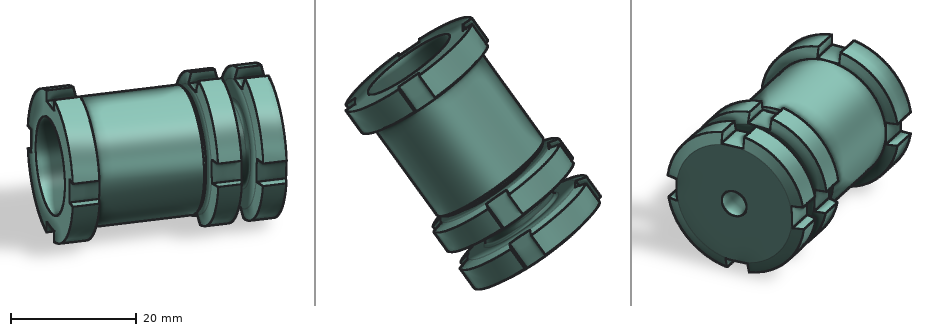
import cadquery as cq
import math

FULL_TURN = 360.0

TOTAL_LENGTH = 36.25

COLLAR_RADIUS = 12.5
COLLAR_THICKNESS = 5.0
SLOT_FLOOR_RADIUS = 10.5
SLOT_WIDTH = 4.0
SLOT_COUNT = 4
COLLAR_CHAMFER_ANGLE = 15.0
COLLAR_CHAMFER_RADIAL = COLLAR_RADIUS - SLOT_FLOOR_RADIUS
COLLAR_CHAMFER_AXIAL = COLLAR_CHAMFER_RADIAL * math.tan(math.radians(COLLAR_CHAMFER_ANGLE))
COLLAR_TWIST = 2.0

SLEEVE_LENGTH = 23.0
SLEEVE_RADIUS = SLOT_FLOOR_RADIUS
SLEEVE_END_CHAMFER = 0.5
BORE_RADIUS = 8.0
BORE_DEPTH = 9.8

LOCK_RING_START = 23.75
LOCK_RING_END = LOCK_RING_START + COLLAR_THICKNESS

SHANK_RADIUS = 7.5
SHANK_START = BORE_DEPTH
HEAD_START = TOTAL_LENGTH - COLLAR_THICKNESS
TIP_START = 8.25
TIP_RADIUS = 6.93
TIP_CHAMFER = 0.3
SCREW_HOLE_RADIUS = 2.25
SCREW_HOLE_CHAMFER = 0.5

RELIEF_RADIUS = 6.75
RELIEF_FILLET = 0.58
RELIEF_START = 28.95


def revolve_about_y(profile):
    """Turn a closed (radius, Y) profile in the XY plane into a solid of revolution."""
    return profile.close().revolve(FULL_TURN, (0, 0, 0), (0, 1, 0))


def cylinder(radius, start, end):
    """Cylinder along Y between two Y positions."""
    return cq.Workplane("XZ", origin=(0, start, 0)).circle(radius).extrude(start - end)


def cut_slots(body, start, twist):
    """Cut the wrench slots across the rim of the collar that begins at Y = start."""
    slot_depth = 2 * COLLAR_CHAMFER_RADIAL
    for index in range(SLOT_COUNT):
        slot = (
            cq.Workplane("XY")
            .box(SLOT_WIDTH, COLLAR_THICKNESS, slot_depth, centered=(True, False, False))
            .translate((0, start, SLOT_FLOOR_RADIUS))
            .rotate((0, 0, 0), (0, 1, 0), twist + index * FULL_TURN / SLOT_COUNT)
        )
        body = body.cut(slot)
    return body


def make_sleeve():
    """Collared sleeve with a wide bore in front of the hole that takes the screw shank."""
    profile = (
        cq.Workplane("XY")
        .moveTo(BORE_RADIUS, 0)
        .lineTo(COLLAR_RADIUS, 0)
        .lineTo(COLLAR_RADIUS, COLLAR_THICKNESS - COLLAR_CHAMFER_AXIAL)
        .lineTo(SLEEVE_RADIUS, COLLAR_THICKNESS)
        .lineTo(SLEEVE_RADIUS, SLEEVE_LENGTH - SLEEVE_END_CHAMFER)
        .lineTo(SLEEVE_RADIUS - SLEEVE_END_CHAMFER, SLEEVE_LENGTH)
        .lineTo(SHANK_RADIUS, SLEEVE_LENGTH)
        .lineTo(SHANK_RADIUS, BORE_DEPTH)
        .lineTo(BORE_RADIUS, BORE_DEPTH)
    )
    return cut_slots(revolve_about_y(profile), 0, 0)


def make_double_chamfered_collar(start, twist):
    """Slotted disc with both rims chamfered."""
    end = start + COLLAR_THICKNESS
    profile = (
        cq.Workplane("XY")
        .moveTo(0, start)
        .lineTo(SLOT_FLOOR_RADIUS, start)
        .lineTo(COLLAR_RADIUS, start + COLLAR_CHAMFER_AXIAL)
        .lineTo(COLLAR_RADIUS, end - COLLAR_CHAMFER_AXIAL)
        .lineTo(SLOT_FLOOR_RADIUS, end)
        .lineTo(0, end)
    )
    return cut_slots(revolve_about_y(profile), start, twist)


def make_lock_ring():
    """Slotted ring that sits on the screw shank behind the sleeve."""
    ring = make_double_chamfered_collar(LOCK_RING_START, -COLLAR_TWIST)
    return ring.cut(cylinder(SHANK_RADIUS, LOCK_RING_START, LOCK_RING_END))


def make_screw_shank():
    """Stepped tip, shank and relief groove, up to the face of the head."""
    flank_turn = math.radians(45)
    half_turn = flank_turn / 2
    flank_end_radius = RELIEF_RADIUS + RELIEF_FILLET * (1 - math.cos(flank_turn))
    flank_end = RELIEF_START + SHANK_RADIUS - flank_end_radius
    floor_start = flank_end + RELIEF_FILLET * math.sin(flank_turn)
    arc_mid_radius = RELIEF_RADIUS + RELIEF_FILLET * (1 - math.cos(half_turn))
    arc_mid = floor_start - RELIEF_FILLET * math.sin(half_turn)
    shoulder_chamfer = SHANK_RADIUS - TIP_RADIUS

    profile = (
        cq.Workplane("XY")
        .moveTo(0, TIP_START)
        .lineTo(TIP_RADIUS - TIP_CHAMFER, TIP_START)
        .lineTo(TIP_RADIUS, TIP_START + TIP_CHAMFER)
        .lineTo(TIP_RADIUS, SHANK_START)
        .lineTo(SHANK_RADIUS, SHANK_START + shoulder_chamfer)
        .lineTo(SHANK_RADIUS, RELIEF_START)
        .lineTo(flank_end_radius, flank_end)
        .threePointArc((arc_mid_radius, arc_mid), (RELIEF_RADIUS, floor_start))
        .lineTo(RELIEF_RADIUS, HEAD_START - RELIEF_FILLET)
        .radiusArc((RELIEF_RADIUS + RELIEF_FILLET, HEAD_START), RELIEF_FILLET)
        .lineTo(0, HEAD_START)
    )
    return revolve_about_y(profile)


def make_screw_hole():
    """Through hole of the screw, chamfered at the tip."""
    profile = (
        cq.Workplane("XY")
        .moveTo(0, TIP_START)
        .lineTo(SCREW_HOLE_RADIUS + SCREW_HOLE_CHAMFER, TIP_START)
        .lineTo(SCREW_HOLE_RADIUS, TIP_START + SCREW_HOLE_CHAMFER)
        .lineTo(SCREW_HOLE_RADIUS, TOTAL_LENGTH)
        .lineTo(0, TOTAL_LENGTH)
    )
    return revolve_about_y(profile)


def make_screw():
    """Hollow screw: shank with a slotted head at the rear."""
    head = make_double_chamfered_collar(HEAD_START, COLLAR_TWIST)
    return make_screw_shank().union(head).cut(make_screw_hole())


sleeve = make_sleeve().solids()
lock_ring = make_lock_ring().solids()
screw = make_screw().solids()

result = cq.Compound.makeCompound([sleeve.val(), lock_ring.val(), screw.val()])